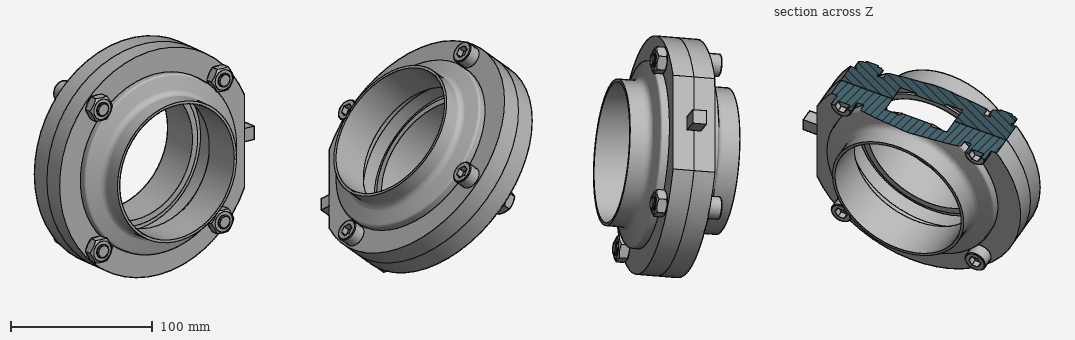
import cadquery as cq
import math


flange_diameter = 169.0
flange_half_width = 15.25
flat_distance = 77.0

half_length = 40.0
bore_diameter = 100.0
pipe_diameter = 104.0
hub_diameter = 133.0
cone_root_x = 24.8
cone_angle = 15.0
root_fillet = 4.25
hub_fillet = 1.75

seat_diameter = 117.0
seat_half_width = 12.0
lip_diameter = 109.0
lip_height = 2.0

bolt_circle_diameter = 150.0
screw_diameter = 10.0
screw_tip_reach = 9.5
screw_tip_chamfer = 0.7
head_diameter = 16.0
head_height = 9.5
head_chamfer = 0.6
socket_width = 8.0
socket_depth = 5.0
nut_width = 17.0
nut_height = 8.0
nut_outer_face_diameter = 15.0
nut_inner_face_diameter = 16.0
nut_chamfer_angle = 32.0

stem_width = 10.0
stem_end_y = 93.0

HEX_CORNER_RATIO = 1 / math.cos(math.radians(30))
bolt_offset = bolt_circle_diameter / 2 * math.cos(math.radians(45))
bolt_positions = [(y, z) for y in (-bolt_offset, bolt_offset) for z in (-bolt_offset, bolt_offset)]


def ring_around_axis(profile):
    """Revolve a closed (x, radius) profile in the XY plane about the X axis."""
    return profile.close().revolve(360, (0, 0, 0), (1, 0, 0))


def round_edge(body, radius, x, edge_radius):
    """Fillet the full circular edge that lies at x with the given radius."""
    reach = 0.01
    selector = cq.selectors.BoxSelector(
        (x - reach, -edge_radius - reach, -edge_radius - reach),
        (x + reach, edge_radius + reach, edge_radius + reach),
        boundingbox=True,
    )
    return body.edges(selector).fillet(radius)


def make_hub_and_pipe():
    """Pipe end and coned hub on the +X side, still solid inside."""
    pipe_radius = pipe_diameter / 2
    hub_radius = hub_diameter / 2
    hub_x = cone_root_x - (hub_radius - pipe_radius) * math.tan(math.radians(cone_angle))
    profile = (
        cq.Workplane("XY")
        .moveTo(0, 0)
        .lineTo(0, hub_radius)
        .lineTo(hub_x, hub_radius)
        .lineTo(cone_root_x, pipe_radius)
        .lineTo(half_length, pipe_radius)
        .lineTo(half_length, 0)
    )
    body = ring_around_axis(profile)
    body = round_edge(body, root_fillet, cone_root_x, pipe_radius)
    return round_edge(body, hub_fillet, hub_x, hub_radius)


def make_flange():
    """Flange disc on the +X side, cut flat on its +Y side."""
    disc = cq.Workplane("YZ").circle(flange_diameter / 2).extrude(flange_half_width)
    beyond_flat = cq.Workplane("XY").box(
        2 * flange_diameter, flange_diameter, 2 * flange_diameter
    ).translate((0, flat_distance + flange_diameter / 2, 0))
    return disc.cut(beyond_flat)


def make_half():
    """Plain housing half on the +X side: flange, hub and pipe, bored through."""
    bore = cq.Workplane("YZ").circle(bore_diameter / 2).extrude(half_length)
    seat = cq.Workplane("YZ").circle(seat_diameter / 2).extrude(seat_half_width)
    lip = (
        cq.Workplane("YZ", origin=(seat_half_width, 0, 0))
        .circle(lip_diameter / 2)
        .extrude(-lip_height)
    )
    return make_flange().union(make_hub_and_pipe()).cut(seat.cut(lip)).cut(bore)


def make_screw_head():
    """Socket head on the -X flange face, centred on the X axis."""
    head = (
        cq.Workplane("YZ", origin=(-flange_half_width, 0, 0))
        .circle(head_diameter / 2)
        .extrude(-head_height)
        .faces("<X")
        .chamfer(head_chamfer)
    )
    socket = (
        cq.Workplane("YZ", origin=(-flange_half_width - head_height, 0, 0))
        .polygon(6, socket_width * HEX_CORNER_RATIO)
        .extrude(socket_depth)
    )
    return head.cut(socket)


def make_nut_and_tip():
    """Hex nut with coned corners and the screw tip, on the +X flange face."""
    outer_radius = nut_outer_face_diameter / 2
    inner_radius = nut_inner_face_diameter / 2
    corner_radius = nut_width * HEX_CORNER_RATIO / 2
    chamfer_slope = math.tan(math.radians(nut_chamfer_angle))
    outer_drop = (corner_radius - outer_radius) * chamfer_slope
    inner_drop = (corner_radius - inner_radius) * chamfer_slope
    nut_start = flange_half_width
    nut_end = nut_start + nut_height
    hexagon = (
        cq.Workplane("YZ", origin=(nut_start, 0, 0))
        .polygon(6, 2 * corner_radius)
        .extrude(nut_height)
    )
    corner_cones = ring_around_axis(
        cq.Workplane("XY")
        .moveTo(nut_start, 0)
        .lineTo(nut_start, inner_radius)
        .lineTo(nut_start + inner_drop, corner_radius)
        .lineTo(nut_end - outer_drop, corner_radius)
        .lineTo(nut_end, outer_radius)
        .lineTo(nut_end, 0)
    )
    tip = (
        cq.Workplane("YZ", origin=(nut_start, 0, 0))
        .circle(screw_diameter / 2)
        .extrude(screw_tip_reach)
        .faces(">X")
        .chamfer(screw_tip_chamfer)
    )
    return hexagon.intersect(corner_cones).union(tip)


def add_at_bolts(body, fastener):
    """Join one copy of the fastener to the body at every bolt position."""
    for y, z in bolt_positions:
        body = body.union(fastener.translate((0, y, z)))
    return body


def make_stem():
    """Square stem end standing on the rim flat, centred on the parting plane."""
    return (
        cq.Workplane("XZ", origin=(0, flat_distance, 0))
        .rect(stem_width, stem_width)
        .extrude(-(stem_end_y - flat_distance))
    )


plain_half = make_half()
nut_side_half = add_at_bolts(plain_half, make_nut_and_tip())
head_side_half = add_at_bolts(plain_half.mirror("YZ"), make_screw_head())
stem = make_stem()

result = cq.Compound.makeCompound([head_side_half.val(), nut_side_half.val(), stem.val()])